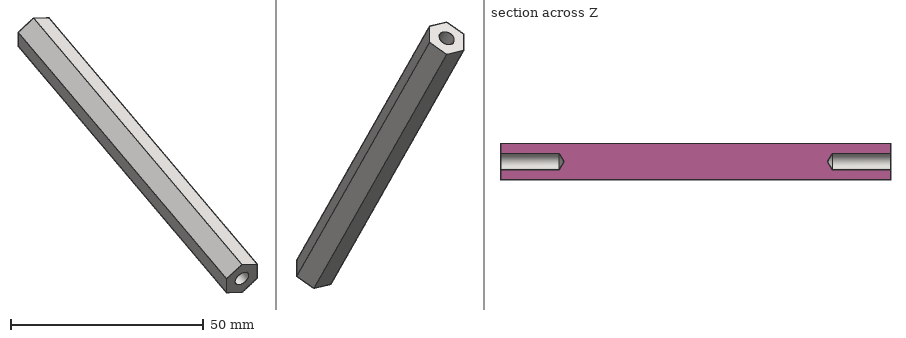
import cadquery as cq
import math

length = 101.6
across_corners = 11.0
hole_diameter = 4.2
hole_depth = 15.2
drill_point_angle = 118.0

hole_radius = hole_diameter / 2
point_depth = hole_radius / math.tan(math.radians(drill_point_angle / 2))


def drilled_hole():
    """Solid of a conical-bottomed hole entering at the -X end."""
    start = -length / 2
    shoulder = start + hole_depth
    return (
        cq.Workplane("XY")
        .moveTo(start, 0)
        .lineTo(start, hole_radius)
        .lineTo(shoulder, hole_radius)
        .lineTo(shoulder + point_depth, 0)
        .close()
        .revolve(360, (0, 0, 0), (1, 0, 0))
    )


bar = (
    cq.Workplane("YZ")
    .polygon(6, across_corners)
    .extrude(length / 2, both=True)
    .rotate((0, 0, 0), (1, 0, 0), 90)
)

hole = drilled_hole()
result = bar.cut(hole).cut(hole.mirror("YZ"))